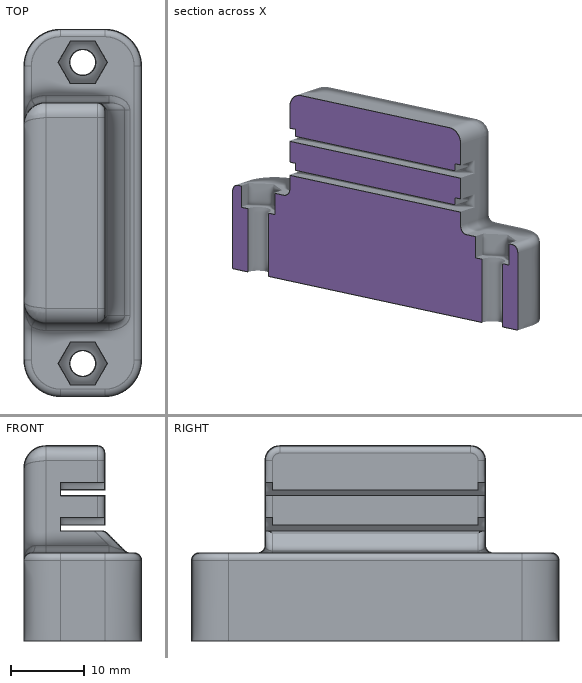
import cadquery as cq
import math

BASE_WIDTH = 16.0
BASE_LENGTH = 50.0
BASE_HEIGHT = 12.0
BASE_CORNER_RADIUS = 5.0
EDGE_RADIUS = 1.0

TOWER_LENGTH = 30.0
TOWER_WIDTH = 11.0
TOTAL_HEIGHT = 26.6
BACK_RADIUS = 3.0
TOP_END_RADIUS = 2.0
BACK_X = -BASE_WIDTH / 2
FRONT_X = BACK_X + TOWER_WIDTH

SLOT_DEPTH = 6.0
SLOT_HEIGHT = 0.8
SLOT_MOUTH_HEIGHT = 1.8
SLOT_MOUTH_LENGTH = 1.0
LOWER_SLOT_Z = 15.0
SLOT_PITCH = 4.8
SLOT_COUNT = 2

RAMP_TOE_X = FRONT_X + (LOWER_SLOT_Z - BASE_HEIGHT)

HOLE_Y = 20.5
HOLE_DIAMETER = 3.5
NUT_ACROSS_FLATS = 5.8
NUT_ACROSS_CORNERS = NUT_ACROSS_FLATS / math.cos(math.radians(30))
NUT_POCKET_DEPTH = 3.0


def make_base():
    """Rounded plate with a rounded top rim."""
    plate = cq.Workplane("XY").box(BASE_WIDTH, BASE_LENGTH, BASE_HEIGHT, centered=(True, True, False))
    plate = plate.edges("|Z").fillet(BASE_CORNER_RADIUS)
    return plate.faces(">Z").edges().fillet(EDGE_RADIUS)


def tower_prism(outline):
    """Prism over the tower length, centred on Y = 0, from a list of (X, Z) corners."""
    return cq.Workplane("XZ").polyline(outline).close().extrude(TOWER_LENGTH / 2, both=True)


def make_upper_tower():
    """Tower above the lower slot floor: large radii on the back, small ones on the slotted side."""
    block = tower_prism([
        (BACK_X, LOWER_SLOT_Z),
        (FRONT_X, LOWER_SLOT_Z),
        (FRONT_X, TOTAL_HEIGHT),
        (BACK_X, TOTAL_HEIGHT),
    ])
    block = block.edges("(|Z and <X) or (|Y and <X and >Z)").fillet(BACK_RADIUS)
    block = block.faces(">Z").edges("|X").fillet(TOP_END_RADIUS)
    return block.faces(">X").edges("not <Z").fillet(EDGE_RADIUS)


def make_tower_foot():
    """Lower part of the tower, with the ramp rounded along its crest and its two ends."""
    foot = tower_prism([
        (BACK_X, 0),
        (RAMP_TOE_X, 0),
        (RAMP_TOE_X, BASE_HEIGHT),
        (FRONT_X, LOWER_SLOT_Z),
        (BACK_X, LOWER_SLOT_Z),
    ])
    foot = foot.edges("|Z and <X").fillet(BACK_RADIUS)
    ramp_face = foot.faces(">(1, 0, 1)")
    return ramp_face.edges("not(|Y and <Z)").fillet(EDGE_RADIUS)


def slot_box(length, height, floor_z):
    """Box from the slot's inner wall to the tower's slotted side, centred on Y = 0."""
    box = cq.Workplane("XY").box(SLOT_DEPTH, length, height, centered=(True, True, False))
    return box.translate((FRONT_X - SLOT_DEPTH / 2, 0, floor_z))


def cut_slot(body, floor_z):
    """Cut one slot along the whole tower, with a taller mouth at each end."""
    body = body.cut(slot_box(TOWER_LENGTH, SLOT_HEIGHT, floor_z))
    mouths = slot_box(TOWER_LENGTH, SLOT_MOUTH_HEIGHT, floor_z)
    middle_length = TOWER_LENGTH - 2 * SLOT_MOUTH_LENGTH
    mouths = mouths.cut(slot_box(middle_length, SLOT_MOUTH_HEIGHT, floor_z))
    return body.cut(mouths)


def cut_screw_seats(body):
    """Through holes near both ends, each under a hexagonal nut pocket."""
    centres = [(0, HOLE_Y), (0, -HOLE_Y)]
    top = cq.Workplane("XY").workplane(offset=BASE_HEIGHT).pushPoints(centres)
    holes = top.circle(HOLE_DIAMETER / 2).extrude(-BASE_HEIGHT)
    pockets = top.polygon(6, NUT_ACROSS_CORNERS).extrude(-NUT_POCKET_DEPTH)
    return body.cut(holes).cut(pockets)


def round_tower_foot(body):
    """Fillet the closed run of edges where the tower foot meets the base."""
    toe_edge = cq.selectors.NearestToPointSelector((RAMP_TOE_X, 0, BASE_HEIGHT))
    return body.edges(toe_edge).fillet(EDGE_RADIUS)


result = round_tower_foot(make_base().union(make_tower_foot()))
result = result.union(make_upper_tower())
for slot_index in range(SLOT_COUNT):
    result = cut_slot(result, LOWER_SLOT_Z + slot_index * SLOT_PITCH)
result = cut_screw_seats(result)